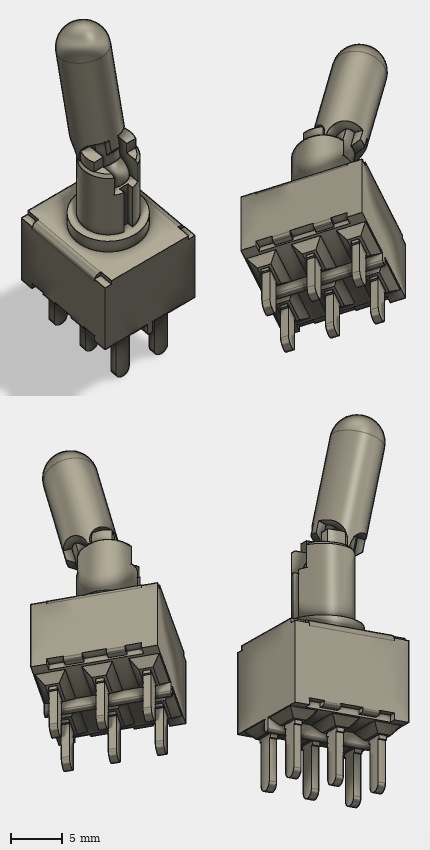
import cadquery as cq
import math

OVERALL_HEIGHT = 39.3

TERMINAL_COLLAR_BOTTOM = 5.23
PARTITION_BOTTOM = 5.2
SEAL_BOTTOM = 5.65
BASE_BOTTOM = 6.55
TAB_BOTTOM = 6.8
COVER_BOTTOM = 7.27
BODY_TOP = 15.45
FLANGE_TOP = 16.9
PIVOT_HEIGHT = 18.65
SLOT_FLOOR = 22.25
BUSHING_TOP = 24.88
POST_TOP = 26.15

BODY_LENGTH = 12.75
BODY_WIDTH = 11.45
COVER_LENGTH = 9.5
COVER_THICKNESS = 0.83
COVER_BEND_DIAMETER = 1.5
CORNER_STEP = 0.47
TAB_LENGTH = 1.9
TAB_OFFSET = 2.15
TAB_BEND_RADIUS = 0.35

TERMINAL_PITCH = 4.7
ROW_SPACING = 4.87
TERMINAL_THICKNESS = 0.83
TERMINAL_WIDTH = 1.65
COLLAR_WIDTH = 2.05
SEAL_LENGTH = 3.05
SEAL_WIDTH = 4.25
SEAL_TAPER = 42
PARTITION_THICKNESS = 0.65
PARTITION_ROUND = 0.25

FLANGE_DIAMETER = 8.0
BUSHING_DIAMETER = 6.2
BUSHING_CHAMFER = 0.3
DOME_DIAMETER = 4.2
SLOT_WIDTH = 3.0
KEYWAY_WIDTH = 1.05
KEYWAY_DEPTH = 0.75
POST_LENGTH = 2.05
POST_DIAMETER = 5.65

LEVER_TILT = 12.0
LEVER_DIAMETER = 5.42
TIP_RISE = OVERALL_HEIGHT - LEVER_DIAMETER / 2 - PIVOT_HEIGHT
TIP_CENTRE = TIP_RISE / math.cos(math.radians(LEVER_TILT))
CAP_BOTTOM = TIP_CENTRE - 9.75
LEG_CURVE_RADIUS = 2.35
LEG_TIP_WIDTH = 0.28
LEG_BOTTOM = CAP_BOTTOM - LEG_CURVE_RADIUS
STEM_DIAMETER = 3.75
STEM_WIDTH = 2.75
RIB_WIDTH = 1.05
RIB_HEIGHT = 1.25
RIB_TAPER = 0.83


def block(length, width, bottom, top, x=0, y=0):
    """Upright box centred on (x, y) between two levels."""
    return (
        cq.Workplane("XY", origin=(x, y, bottom))
        .rect(length, width)
        .extrude(top - bottom)
    )


def post(diameter, bottom, top):
    """Upright cylinder on the Z axis between two levels."""
    return cq.Workplane("XY", origin=(0, 0, bottom)).circle(diameter / 2).extrude(top - bottom)


def make_body():
    core_width = BODY_WIDTH - 2 * COVER_THICKNESS
    end_length = (BODY_LENGTH - COVER_LENGTH) / 2
    end_x = (BODY_LENGTH - end_length) / 2
    side_y = (BODY_WIDTH - COVER_THICKNESS) / 2

    body = block(BODY_LENGTH, core_width, BASE_BOTTOM, BODY_TOP)
    cover = block(COVER_LENGTH, BODY_WIDTH, COVER_BOTTOM, BODY_TOP)
    body = body.union(cover.edges("|X and >Z").fillet(COVER_BEND_DIAMETER / 2))

    for end in (-1, 1):
        for side in (-1, 1):
            plate_top = BODY_TOP - CORNER_STEP
            plate = block(end_length, COVER_THICKNESS, BASE_BOTTOM, plate_top, end * end_x, side * side_y)
            tab = block(
                TAB_LENGTH, COVER_THICKNESS, TAB_BOTTOM, COVER_BOTTOM, end * TAB_OFFSET, side * side_y
            )
            outer_edge = "|X and <Z and >Y" if side > 0 else "|X and <Z and <Y"
            body = body.union(plate).union(tab.edges(outer_edge).fillet(TAB_BEND_RADIUS))
    return body


def make_terminal(x, y):
    seal_height = BASE_BOTTOM - SEAL_BOTTOM
    seal = (
        cq.Workplane("XY", origin=(x, y, BASE_BOTTOM))
        .rect(SEAL_LENGTH, SEAL_WIDTH)
        .extrude(-seal_height, taper=SEAL_TAPER)
    )
    collar = block(TERMINAL_THICKNESS, COLLAR_WIDTH, TERMINAL_COLLAR_BOTTOM, SEAL_BOTTOM, x, y)
    tip_radius = TERMINAL_WIDTH / 2
    blade = (
        block(TERMINAL_THICKNESS, TERMINAL_WIDTH, tip_radius, SEAL_BOTTOM, x, y)
        .union(
            cq.Workplane("YZ", origin=(x - TERMINAL_THICKNESS / 2, y, tip_radius))
            .circle(tip_radius)
            .extrude(TERMINAL_THICKNESS)
        )
    )
    return seal.union(collar).union(blade)


def make_partition():
    plate = block(BODY_LENGTH, PARTITION_THICKNESS, PARTITION_BOTTOM, BASE_BOTTOM)
    return plate.edges("|X and <Z").fillet(PARTITION_ROUND)


def make_bushing():
    bushing = post(BUSHING_DIAMETER, BODY_TOP, BUSHING_TOP).faces(">Z").chamfer(BUSHING_CHAMFER)

    bushing = bushing.union(
        post(POST_DIAMETER, SLOT_FLOOR, POST_TOP)
        .intersect(block(POST_LENGTH, POST_DIAMETER, SLOT_FLOOR, POST_TOP))
    )
    bushing = bushing.cut(block(BUSHING_DIAMETER, SLOT_WIDTH, SLOT_FLOOR, POST_TOP))

    dome = cq.Workplane("XY", origin=(0, 0, SLOT_FLOOR)).sphere(DOME_DIAMETER / 2)
    bushing = bushing.union(dome.intersect(block(DOME_DIAMETER, STEM_WIDTH, SLOT_FLOOR, BUSHING_TOP)))

    keyway_x = BUSHING_DIAMETER / 2 - KEYWAY_DEPTH / 2
    bushing = bushing.cut(block(KEYWAY_DEPTH, KEYWAY_WIDTH, FLANGE_TOP, SLOT_FLOOR, keyway_x))
    return bushing.union(post(FLANGE_DIAMETER, BODY_TOP, FLANGE_TOP))


def make_lever():
    radius = LEVER_DIAMETER / 2
    cap = post(LEVER_DIAMETER, LEG_BOTTOM, TIP_CENTRE)
    cap = cap.union(cq.Workplane("XY", origin=(0, 0, TIP_CENTRE)).sphere(radius))

    tip_x = LEG_TIP_WIDTH / 2
    curve_end_x = tip_x + LEG_CURVE_RADIUS
    curve_mid_x = curve_end_x - LEG_CURVE_RADIUS * math.sqrt(0.5)
    curve_mid_z = LEG_BOTTOM + LEG_CURVE_RADIUS * math.sqrt(0.5)
    relief = (
        cq.Workplane("XZ")
        .moveTo(tip_x, LEG_BOTTOM)
        .threePointArc((curve_mid_x, curve_mid_z), (curve_end_x, CAP_BOTTOM))
        .lineTo(LEVER_DIAMETER, CAP_BOTTOM)
        .lineTo(LEVER_DIAMETER, LEG_BOTTOM)
        .close()
        .extrude(radius, both=True)
    )
    cap = cap.cut(relief).cut(relief.mirror("YZ"))

    stem = post(STEM_DIAMETER, 0, CAP_BOTTOM).intersect(block(STEM_DIAMETER, STEM_WIDTH, 0, CAP_BOTTOM))

    rib_bottom = CAP_BOTTOM - RIB_HEIGHT
    rib = (
        cq.Workplane("XZ")
        .moveTo(-radius, CAP_BOTTOM)
        .lineTo(radius, CAP_BOTTOM)
        .lineTo(radius, rib_bottom)
        .lineTo(radius - RIB_TAPER, rib_bottom - RIB_TAPER)
        .lineTo(RIB_TAPER - radius, rib_bottom - RIB_TAPER)
        .lineTo(-radius, rib_bottom)
        .close()
        .extrude(RIB_WIDTH / 2, both=True)
    )
    rib = rib.intersect(post(LEVER_DIAMETER, LEG_BOTTOM, CAP_BOTTOM))
    lever = cap.union(stem).union(rib)
    return lever.rotate((0, 0, 0), (0, 1, 0), -LEVER_TILT).translate((0, 0, PIVOT_HEIGHT))


result = make_body().union(make_partition())
for column in (-1, 0, 1):
    for row in (-1, 1):
        result = result.union(make_terminal(column * TERMINAL_PITCH, row * ROW_SPACING / 2))
result = result.union(make_bushing()).union(make_lever())